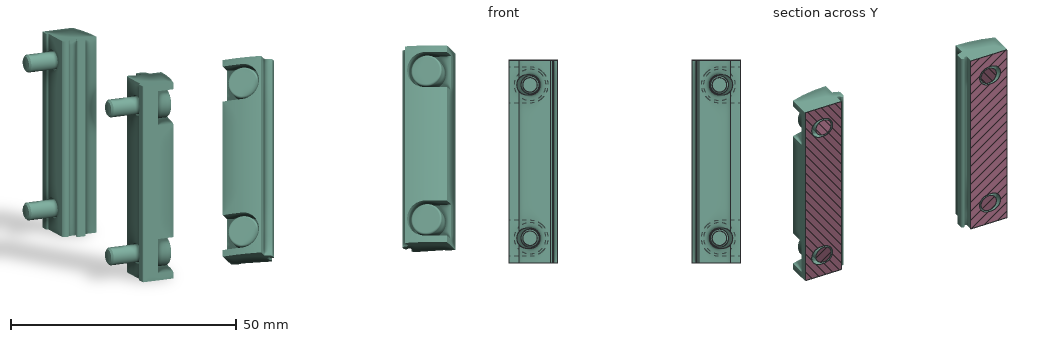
import cadquery as cq

overall_width = 51.4
bar_length = 45.0
screw_x = 21.0
screw_z = 17.0

outer_x = overall_width / 2
body_width = 9.2
inner_x = outer_x - body_width
bar_height = 9.0
outer_side_height = 7.5
foot_width = 2.3
foot_height = 0.5
foot_inner_x = outer_x - foot_width
foot_outer_fillet = 0.2
foot_inner_fillet = 0.3

crown_rise = bar_height - outer_side_height
crown_radius = (body_width**2 + crown_rise**2) / (2 * crown_rise)

lip_height = 1.75
lip_reach = 0.5
lip_top = foot_height + lip_height

rib_reach = 1.6
rib_root_top = 6.1
rib_nose_top = 5.55
rib_nose_bottom = 3.4
nose_top_fillet = 0.5
hook_radius = 0.45
gap_top = 4.0
nose_x = inner_x - rib_reach
hook_x = nose_x + 2 * hook_radius
hook_center_y = rib_nose_bottom + hook_radius

shank_diameter = 4.0
shank_length = 10.0
shank_chamfer = 0.4
head_diameter = 7.0
head_height = 4.0
head_fillet = 0.4

seat_height = 3.7
pocket_width = 8.0
slot_width = 4.5
slot_travel = 0.7


def edge_near(x, y):
    """Selector for the edge nearest to the point (x, y) at mid-length."""
    return cq.selectors.NearestToPointSelector((x, y, 0))


def make_blank():
    """The bar without screw seats, extruded along Z."""
    crown_mid_x = inner_x + body_width / 2
    crown_mid_y = bar_height - crown_radius + (crown_radius**2 - (body_width / 2) ** 2) ** 0.5
    blank = (
        cq.Workplane("XY")
        .moveTo(outer_x, 0)
        .lineTo(outer_x, outer_side_height)
        .threePointArc((crown_mid_x, crown_mid_y), (inner_x, bar_height))
        .lineTo(inner_x, rib_root_top)
        .lineTo(nose_x, rib_nose_top)
        .lineTo(nose_x, hook_center_y)
        .threePointArc((nose_x + hook_radius, rib_nose_bottom), (hook_x, hook_center_y))
        .threePointArc(((hook_x + inner_x) / 2, gap_top), (inner_x, hook_center_y))
        .lineTo(inner_x, lip_top)
        .threePointArc((inner_x - lip_reach, foot_height + lip_height / 2), (inner_x, foot_height))
        .lineTo(foot_inner_x, foot_height)
        .lineTo(foot_inner_x, 0)
        .close()
        .extrude(bar_length / 2, both=True)
    )
    fillets = [
        (outer_x, 0, foot_outer_fillet),
        (foot_inner_x, 0, foot_inner_fillet),
        (nose_x, rib_nose_top, nose_top_fillet),
    ]
    for x, y, radius in fillets:
        blank = blank.edges("|Z").edges(edge_near(x, y)).fillet(radius)
    return blank


def make_seat(z):
    """Space cut for one screw: round-ended side pocket plus slotted through hole."""
    seat_plane = cq.Workplane("XZ", origin=(screw_x, seat_height, z))
    side_run = outer_x - screw_x
    pocket_depth = bar_height - seat_height
    pocket_end = seat_plane.circle(pocket_width / 2).extrude(-pocket_depth)
    pocket_side = seat_plane.center(side_run / 2, 0).rect(side_run, pocket_width).extrude(-pocket_depth)
    slot = (
        seat_plane.center(slot_travel / 2, 0)
        .slot2D(slot_width + slot_travel, slot_width)
        .extrude(seat_height)
    )
    return pocket_end.union(pocket_side).union(slot)


def make_bar():
    """The bar on the +X side, with both screw seats."""
    bar = make_blank()
    for z in (-screw_z, screw_z):
        bar = bar.cut(make_seat(z))
    return bar


def make_screw(x, z):
    """One cap screw with its head resting on the seat."""
    seat_plane = cq.Workplane("XZ", origin=(x, seat_height, z))
    shank = seat_plane.circle(shank_diameter / 2).extrude(shank_length)
    shank = shank.faces("<Y").chamfer(shank_chamfer)
    head = seat_plane.circle(head_diameter / 2).extrude(-head_height)
    head = head.faces(">Y").edges().fillet(head_fillet)
    return head.union(shank)


right_bar = make_bar()
left_bar = right_bar.mirror("YZ")
screws = [make_screw(x, z) for x in (-screw_x, screw_x) for z in (-screw_z, screw_z)]

result = cq.Compound.makeCompound(
    [right_bar.val(), left_bar.val(), *[screw.val() for screw in screws]]
)